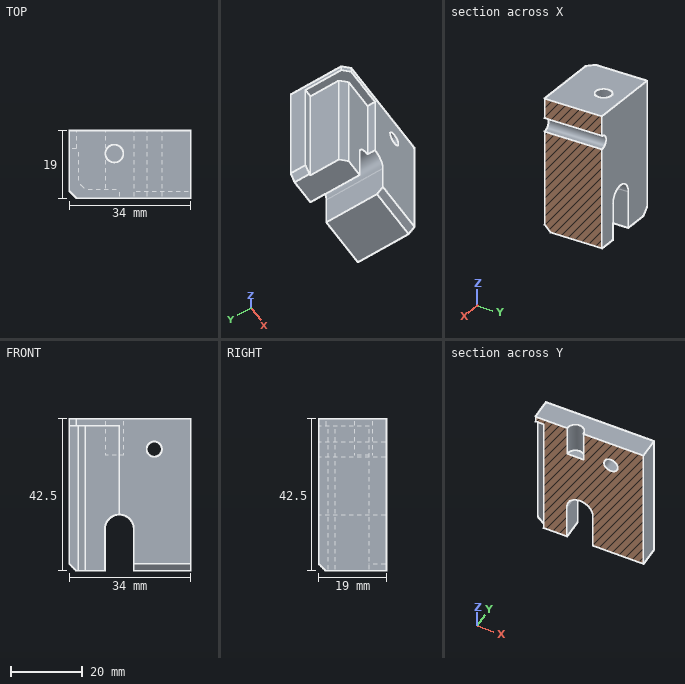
import cadquery as cq

width = 34.0
depth = 19.0
height = 42.5
edge_chamfer = 2.0

cap_thickness = 2.0
step_depth = 2.5
step_front_length = 14.0
step_side_length = 14.0
step_height = height - cap_thickness

slot_width = 8.0
slot_radius = slot_width / 2
slot_arc_height = 11.7

cross_hole_diameter = 4.2
cross_hole_x = 23.75
cross_hole_z = 34.0

top_hole_diameter = 5.0
top_hole_depth = 10.0
top_hole_x = 12.6
top_hole_from_back = 6.5
top_hole_y = depth - top_hole_from_back


def make_block():
    """Block with its front left upright edge and its front and left bottom edges chamfered."""
    block = cq.Workplane("XY").box(width, depth, height, centered=False)
    return block.edges("(<X and <Y) or (<X and <Z) or (<Y and <Z)").chamfer(edge_chamfer)


def make_corner_step():
    """L-shaped cutter that sets the front left corner back and leaves it chamfered."""
    return (
        cq.Workplane("XY")
        .moveTo(0, 0)
        .lineTo(step_front_length, 0)
        .lineTo(step_front_length, step_depth)
        .lineTo(step_depth + edge_chamfer, step_depth)
        .lineTo(step_depth, step_depth + edge_chamfer)
        .lineTo(step_depth, step_side_length)
        .lineTo(0, step_side_length)
        .close()
        .extrude(step_height)
    )


def make_slot():
    """Round-topped slot, open at the bottom, through the full depth."""
    return (
        cq.Workplane("XZ")
        .moveTo(step_front_length - slot_radius, 0)
        .lineTo(step_front_length - slot_radius, slot_arc_height)
        .threePointArc(
            (step_front_length, slot_arc_height + slot_radius),
            (step_front_length + slot_radius, slot_arc_height),
        )
        .lineTo(step_front_length + slot_radius, 0)
        .close()
        .extrude(-depth)
    )


def make_cross_hole():
    """Cylinder through the full depth."""
    return (
        cq.Workplane("XZ")
        .center(cross_hole_x, cross_hole_z)
        .circle(cross_hole_diameter / 2)
        .extrude(-depth)
    )


def make_top_hole():
    """Flat-bottomed cylinder down from the top face."""
    return (
        cq.Workplane("XY", origin=(top_hole_x, top_hole_y, height))
        .circle(top_hole_diameter / 2)
        .extrude(-top_hole_depth)
    )


result = (
    make_block()
    .cut(make_corner_step())
    .cut(make_slot())
    .cut(make_cross_hole())
    .cut(make_top_hole())
)